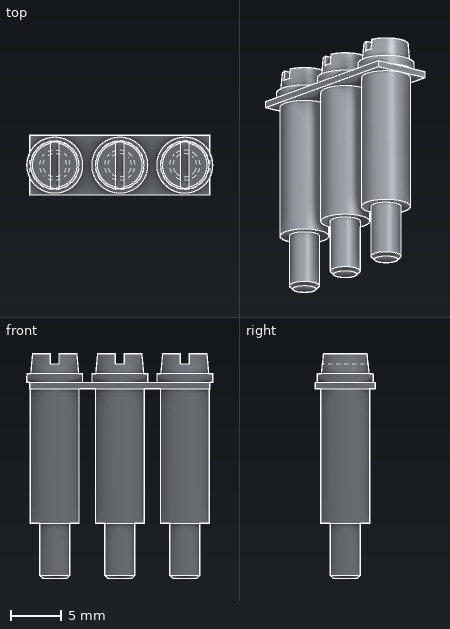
import cadquery as cq

screw_count = 3
screw_pitch = 6.5

shoulder_z = 5.54
plate_bottom_z = 19.0
plate_top_z = 19.62
collar_top_z = 20.5
head_top_z = 22.5

pin_diameter = 3.02
sleeve_diameter = 4.9
collar_diameter = 5.6
head_base_diameter = 4.82
head_top_diameter = 4.45

tip_chamfer = 0.34
slot_width = 0.85
slot_depth = 1.01

plate_length = 18.0
plate_width = 6.0


def cylinder(diameter, bottom_z, top_z):
    """Vertical cylinder between two heights."""
    return cq.Workplane("XY").workplane(offset=bottom_z).circle(diameter / 2).extrude(top_z - bottom_z)


def make_head():
    """Tapered screw head with a driver slot running along Y."""
    head = (
        cq.Workplane("XY")
        .workplane(offset=collar_top_z)
        .circle(head_base_diameter / 2)
        .workplane(offset=head_top_z - collar_top_z)
        .circle(head_top_diameter / 2)
        .loft(ruled=True)
    )
    slot = (
        cq.Workplane("XY")
        .workplane(offset=head_top_z - slot_depth)
        .rect(slot_width, head_base_diameter)
        .extrude(slot_depth)
    )
    return head.cut(slot)


def make_screw():
    """Chamfered pin, sleeve, collar and slotted head on one axis."""
    pin = cylinder(pin_diameter, 0, shoulder_z).faces("<Z").chamfer(tip_chamfer)
    sleeve = cylinder(sleeve_diameter, shoulder_z, plate_top_z)
    collar = cylinder(collar_diameter, plate_top_z, collar_top_z)
    return pin.union(sleeve).union(collar).union(make_head())


result = (
    cq.Workplane("XY")
    .workplane(offset=plate_bottom_z)
    .rect(plate_length, plate_width)
    .extrude(plate_top_z - plate_bottom_z)
)
screw = make_screw()
for index in range(screw_count):
    screw_x = (index - (screw_count - 1) / 2) * screw_pitch
    result = result.union(screw.translate((screw_x, 0, 0)))